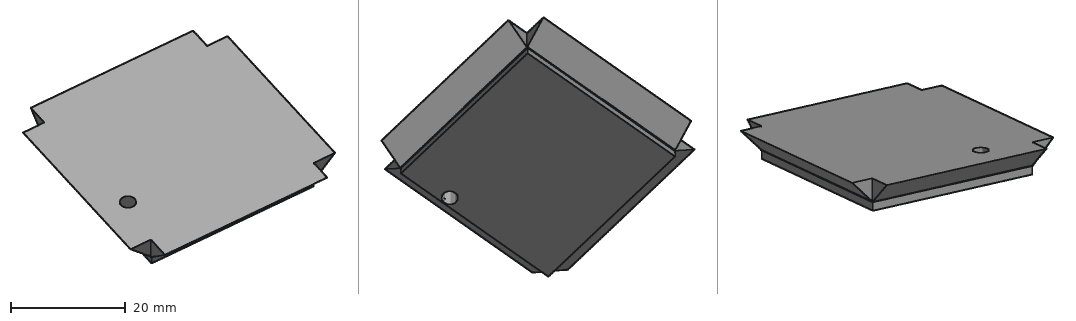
import cadquery as cq

overall_width = 42.65
overall_height = 6.0

base_width = 33.9
base_height = 1.62
foot_overhang = 0.1
foot_lip = 0.1
flap_length = 33.95
flap_shift = 0.1

hole_diameter = 2.8
hole_x = 7.1
hole_y = -15.35

half_width = overall_width / 2
half_foot = base_width / 2 + foot_overhang


def make_flap(angle):
    """Wedge on the +Y side, turned about Z to its own side of the base."""
    profile = [
        (0, base_height),
        (half_foot, base_height),
        (half_foot, base_height + foot_lip),
        (half_width, overall_height),
        (0, overall_height),
    ]
    wedge = (
        cq.Workplane("YZ")
        .polyline(profile)
        .close()
        .extrude(flap_length / 2, both=True)
        .translate((flap_shift, 0, 0))
    )
    return wedge.rotate((0, 0, 0), (0, 0, 1), angle)


result = cq.Workplane("XY").box(
    base_width, base_width, overall_height, centered=(True, True, False)
)
for side in range(4):
    result = result.union(make_flap(90 * side))

hole = cq.Workplane("XY").center(hole_x, hole_y).circle(hole_diameter / 2).extrude(overall_height)
result = result.cut(hole)